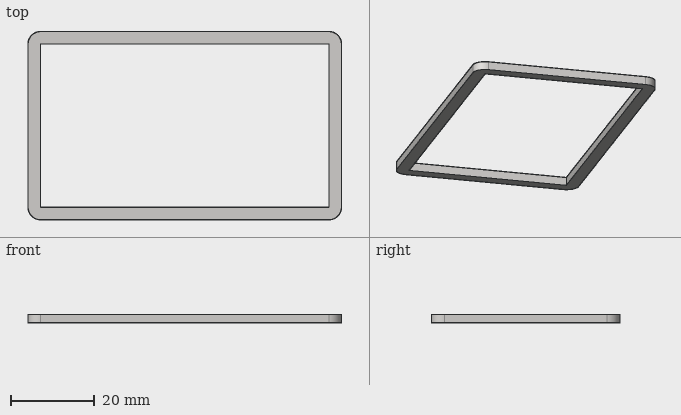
import cadquery as cq

length = 75.0
width = 45.1
thickness = 2.0

rail = 3.1
corner_radius = rail

plate = cq.Workplane("XY").box(length, width, thickness).edges("|Z").fillet(corner_radius)
opening = cq.Workplane("XY").box(length - 2 * rail, width - 2 * rail, thickness)

result = plate.cut(opening)